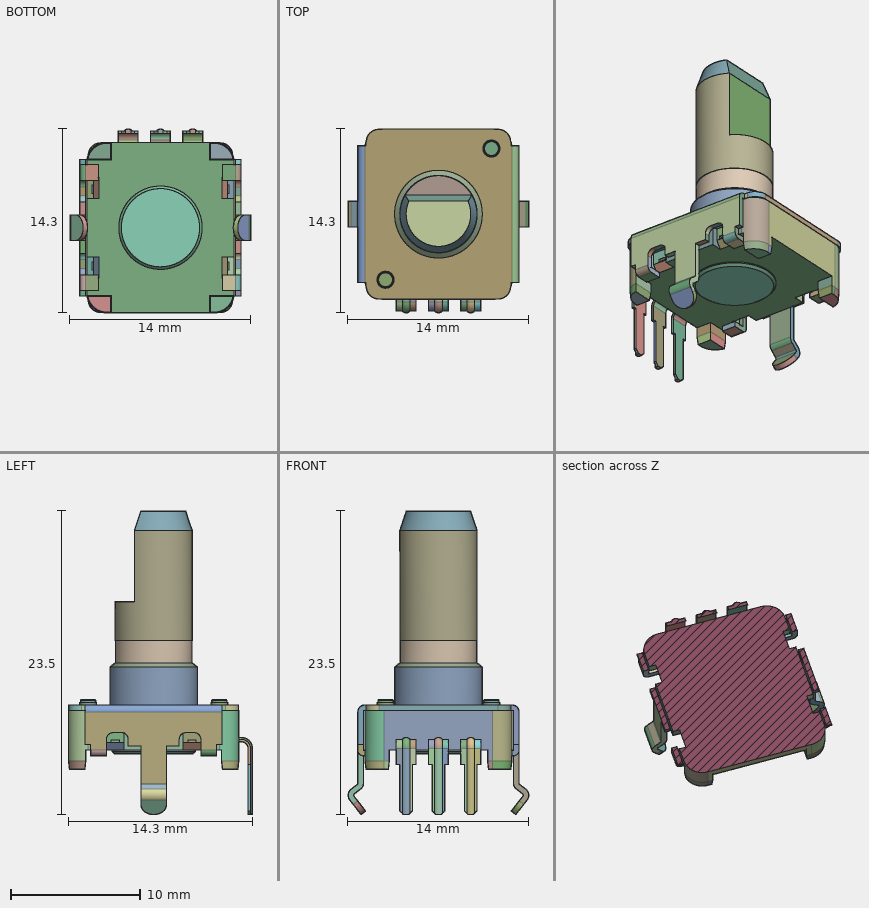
import cadquery as cq
import math


body_length_x = 11.4
body_length_y = 13.2
body_corner_radius = 1.5
body_bottom_z = 1.5
foot_size_x = 1.9
foot_size_y = 1.35
foot_taper_height = 0.67
foot_taper_inset = 0.07
base_disc_radius = 3.23
base_disc_depth = 0.3
base_disc_chamfer = 0.2

sheet = 0.45
cover_top_z = 5.0
plate_length_x = 11.2
plate_length_y = 13.16
plate_corner_radius = 1.0
wall_outer_x = 6.25
wall_bend_radius = 0.55
wall_half_y = 5.3
wall_bottom_z = 1.95
lug_inner_y = 3.65
lug_outer_y = 4.88
lug_end_x = 4.8
lug_bend_radius = 0.45
notch_inner_y = 1.98
notch_top_z = 2.85
notch_corner_radius = 0.5
wall_middle_bottom_z = 1.8

snap_width = 2.0
snap_knee_z = -1.12
snap_outer_x = 7.0
snap_tip_z = -3.5
snap_slope = math.radians(38)
snap_elbow_radius = 0.6
snap_knee_radius = 0.1

pocket_inner_y = 2.28
pocket_outer_y = 3.9
pocket_depth = 0.5
pocket_top_z = 3.1
pocket_bevel_z = 2.1
pocket_bevel_run = 0.45
nub_width = 0.65
nub_height = 0.2
nub_depth = 0.1

bushing_radius = 3.4
bushing_top_z = 8.25
bushing_chamfer_radial = 0.4
bushing_chamfer_height = 0.33
neck_radius = 2.97
neck_top_z = 10.0
shaft_radius = 3.0
shaft_top_z = 20.0
shaft_flat_y = 1.5
shaft_flat_bottom_z = 13.0
shaft_tip_height = 1.5
shaft_tip_inset = 0.5

rivet_x = 4.1
rivet_y = 5.08
rivet_flange_radius = 0.66
rivet_flange_height = 0.17
rivet_radius = 0.6
rivet_height = 0.4
rivet_chamfer = 0.06

pin_pitch = 2.5
pin_sheet = 0.2
pin_top_z = 2.33
pin_outer_y = -7.5
pin_bend_radius = 0.7
pin_tip_z = -3.5
pin_tip_chamfer = 0.3
pin_wide = 1.55
pin_narrow = 1.0
pin_wide_bottom_z = 0.37
pin_embed = 0.5
bead_width = 0.6
bead_height = 0.15

body_top_z = cover_top_z - sheet
body_half_x = body_length_x / 2
body_half_y = body_length_y / 2
wall_inner_x = wall_outer_x - sheet
lug_bottom_z = body_bottom_z - sheet
pin_root_y = pin_embed - body_half_y


def box_between(x0, x1, y0, y1, z0, z1):
    """Axis-aligned block between two opposite corners."""
    return cq.Workplane("XY").box(x1 - x0, y1 - y0, z1 - z0, centered=False).translate((x0, y0, z0))


def both_sides_x(shape):
    """The shape together with its mirror image across the YZ plane."""
    return shape.union(shape.mirror("YZ"))


def both_sides_y(shape):
    """The shape together with its mirror image across the XZ plane."""
    return shape.union(shape.mirror("XZ"))


def rounded_block(length_x, length_y, radius, z0, z1):
    """Upright block with rounded vertical edges, centred on the Z axis."""
    block = cq.Workplane("XY").workplane(offset=z0).rect(length_x, length_y).extrude(z1 - z0)
    return block.edges("|Z").fillet(radius)


def make_foot():
    """Corner foot at +X +Y, following the rounded corner, whose lower end narrows slightly."""
    block = box_between(
        body_half_x - foot_size_x, body_half_x,
        body_half_y - foot_size_y, body_half_y,
        0, body_bottom_z,
    )
    foot = block.intersect(
        rounded_block(body_length_x, body_length_y, body_corner_radius, 0, body_bottom_z)
    )
    return foot.faces("<Z").chamfer(foot_taper_height, foot_taper_inset)


def make_pocket():
    """Side pocket at +X +Y with a bevelled lower lip and a small nub on its floor."""
    floor_x = body_half_x - pocket_depth
    pocket = (
        cq.Workplane("XZ")
        .moveTo(body_half_x, pocket_top_z)
        .lineTo(floor_x, pocket_top_z)
        .lineTo(floor_x, pocket_bevel_z)
        .lineTo(floor_x - pocket_bevel_run, body_bottom_z)
        .lineTo(body_half_x, body_bottom_z)
        .close()
        .extrude(pocket_inner_y - pocket_outer_y)
        .translate((0, pocket_inner_y, 0))
    )
    nub_center_y = (pocket_inner_y + lug_inner_y) / 2
    nub = box_between(
        floor_x, floor_x + nub_depth,
        nub_center_y - nub_width / 2, nub_center_y + nub_width / 2,
        pocket_bevel_z, pocket_bevel_z + nub_height,
    )
    return pocket.cut(nub)


def make_housing():
    housing = rounded_block(
        body_length_x, body_length_y, body_corner_radius, body_bottom_z, body_top_z
    )
    housing = housing.cut(both_sides_x(both_sides_y(make_pocket())))
    housing = housing.union(both_sides_x(both_sides_y(make_foot())))
    disc = (
        cq.Workplane("XY").workplane(offset=body_bottom_z)
        .circle(base_disc_radius).extrude(-base_disc_depth)
        .faces("<Z").edges().chamfer(base_disc_chamfer)
    )
    return housing.union(disc)


def make_wall():
    """Bent side wall at +X, notched along its lower edge."""
    wall = box_between(
        plate_length_x / 2 - plate_corner_radius, wall_outer_x,
        -wall_half_y, wall_half_y, wall_bottom_z, cover_top_z,
    )
    wall = wall.edges("|Y and >X and >Z").fillet(wall_bend_radius)
    wall = wall.cut(box_between(0, wall_inner_x, -wall_half_y, wall_half_y, 0, body_top_z))
    notch = box_between(wall_inner_x, wall_outer_x, notch_inner_y, lug_inner_y, 0, notch_top_z)
    notch = notch.edges("|X and >Z").fillet(notch_corner_radius)
    wall = wall.union(box_between(
        wall_inner_x, wall_outer_x, -notch_inner_y, notch_inner_y, wall_middle_bottom_z, wall_bottom_z
    ))
    return wall.cut(both_sides_y(notch))


def make_lug():
    """Lug at +X +Y that continues the wall down and folds under the housing."""
    lug = box_between(
        lug_end_x, wall_outer_x, lug_inner_y, lug_outer_y, lug_bottom_z, wall_bottom_z
    )
    lug = lug.edges("|Y and >X and <Z").fillet(lug_bend_radius)
    return lug.cut(box_between(
        lug_end_x, wall_inner_x, lug_inner_y, lug_outer_y, body_bottom_z, wall_bottom_z
    ))


def fillet_at(shape, x, z, radius):
    """Round the edge along Y that passes through the given X and Z."""
    edge = cq.selectors.NearestToPointSelector((x, 0, z))
    return shape.edges("|Y").edges(edge).fillet(radius)


def make_snap_leg():
    """Leg at +X: straight down, out to an elbow, then back in to a rounded tip."""
    out_x = math.cos(snap_slope)
    out_z = math.sin(snap_slope)
    elbow_x = snap_outer_x + snap_elbow_radius * (out_x + out_z - 1)
    elbow_z = snap_knee_z - (elbow_x - wall_outer_x) * out_z / out_x
    return_length = (elbow_z - snap_tip_z) / out_x
    tip_x = elbow_x - return_length * out_z
    knee_shift = sheet * math.tan((math.pi / 2 - snap_slope) / 2)
    inner_elbow_x = elbow_x - sheet * (out_x + out_z)
    inner_elbow_z = elbow_z + sheet * (out_z - out_x)
    leg = (
        cq.Workplane("XZ")
        .moveTo(wall_outer_x, wall_bottom_z)
        .lineTo(wall_outer_x, snap_knee_z)
        .lineTo(elbow_x, elbow_z)
        .lineTo(tip_x, snap_tip_z)
        .lineTo(tip_x - sheet * out_x, snap_tip_z + sheet * out_z)
        .lineTo(inner_elbow_x, inner_elbow_z)
        .lineTo(wall_inner_x, snap_knee_z - knee_shift)
        .lineTo(wall_inner_x, wall_bottom_z)
        .close()
        .extrude(snap_width / 2, both=True)
    )
    leg = fillet_at(leg, elbow_x, elbow_z, snap_elbow_radius)
    leg = fillet_at(leg, inner_elbow_x, inner_elbow_z, snap_elbow_radius - sheet)
    leg = fillet_at(leg, wall_outer_x, snap_knee_z, snap_knee_radius)
    leg = fillet_at(leg, wall_inner_x, snap_knee_z - knee_shift, snap_knee_radius + sheet)
    return_run = cq.Plane(
        origin=(tip_x, 0, snap_tip_z), xDir=(0, 1, 0), normal=(-out_x, 0, out_z)
    )
    return leg.cut(make_tip_trim(return_run))


def make_tip_trim(plane):
    """Material outside the half-round end of a snap leg; the plane's -Y points up the leg."""
    half = snap_width / 2
    reach = 2 * sheet
    square = cq.Workplane(plane).rect(2 * snap_width, snap_width).extrude(reach, both=True)
    keep = cq.Workplane(plane).center(0, -half).circle(half).extrude(reach, both=True)
    return square.cut(keep)


def make_cover():
    plate = rounded_block(
        plate_length_x, plate_length_y, plate_corner_radius, body_top_z, cover_top_z
    )
    side = make_wall().union(both_sides_y(make_lug())).union(make_snap_leg())
    return plate.union(both_sides_x(side))


def make_rivet():
    flange = cq.Workplane("XY").circle(rivet_flange_radius).extrude(rivet_flange_height)
    head = cq.Workplane("XY").circle(rivet_radius).extrude(rivet_height)
    head = head.faces(">Z").edges().chamfer(rivet_chamfer)
    return flange.union(head).translate((0, 0, cover_top_z))


def make_bushing():
    chamfer_start_z = bushing_top_z - bushing_chamfer_height
    return (
        cq.Workplane("XZ")
        .moveTo(0, cover_top_z)
        .lineTo(bushing_radius, cover_top_z)
        .lineTo(bushing_radius, chamfer_start_z)
        .lineTo(bushing_radius - bushing_chamfer_radial, bushing_top_z)
        .lineTo(0, bushing_top_z)
        .close()
        .revolve(360, (0, 0, 0), (0, 1, 0))
    )


def make_shaft():
    """Shaft on a slightly thinner neck, flat on +Y, with the whole D-shaped tip chamfered."""
    tip_start_z = shaft_top_z - shaft_tip_height
    shaft = cq.Workplane("XY").workplane(offset=neck_top_z).circle(shaft_radius)
    shaft = shaft.extrude(shaft_top_z - neck_top_z)
    shaft = shaft.faces(">Z").edges().chamfer(shaft_tip_height, shaft_tip_inset)
    flat_cut = (
        cq.Workplane("YZ")
        .moveTo(shaft_flat_y, shaft_flat_bottom_z)
        .lineTo(shaft_flat_y, tip_start_z)
        .lineTo(shaft_flat_y - shaft_tip_inset, shaft_top_z)
        .lineTo(shaft_radius, shaft_top_z)
        .lineTo(shaft_radius, shaft_flat_bottom_z)
        .close()
        .extrude(shaft_radius, both=True)
    )
    neck = cq.Workplane("XY").workplane(offset=cover_top_z).circle(neck_radius)
    neck = neck.extrude(neck_top_z - cover_top_z)
    return shaft.cut(flat_cut).union(neck)


def make_pin_strip(width):
    """Right-angled strip from the housing out to -Y and down to the pin tip."""
    strip = box_between(
        -width / 2, width / 2, pin_outer_y, pin_root_y, pin_tip_z, pin_top_z
    )
    strip = strip.edges("|X and <Y and >Z").fillet(pin_bend_radius)
    hollow = box_between(
        -width / 2, width / 2, pin_outer_y + pin_sheet, pin_root_y,
        pin_tip_z, pin_top_z - pin_sheet,
    )
    hollow = hollow.edges("|X and <Y and >Z").fillet(pin_bend_radius - pin_sheet)
    return strip.cut(hollow)


def make_bead():
    """Stiffening bead of arched section along the outer face of a pin."""
    half = bead_width / 2
    bend_y = pin_outer_y + pin_bend_radius
    bend_z = pin_top_z - pin_bend_radius
    path = (
        cq.Workplane("YZ")
        .moveTo(pin_root_y, pin_top_z)
        .lineTo(bend_y, pin_top_z)
        .radiusArc((pin_outer_y, bend_z), -pin_bend_radius)
        .lineTo(pin_outer_y, pin_tip_z)
    )
    section = (
        cq.Workplane("XZ", origin=(0, pin_root_y, pin_top_z))
        .moveTo(-half, -pin_sheet / 2)
        .lineTo(-half, 0)
        .threePointArc((0, bead_height), (half, 0))
        .lineTo(half, -pin_sheet / 2)
        .close()
    )
    return section.sweep(path)


def make_pin():
    wide = make_pin_strip(pin_wide)
    wide = wide.cut(box_between(
        -pin_wide, pin_wide, pin_outer_y, 0, pin_tip_z, pin_wide_bottom_z
    ))
    pin = wide.union(make_pin_strip(pin_narrow)).union(make_bead())
    half = pin_narrow / 2
    corner = (
        cq.Workplane("XZ")
        .moveTo(half, pin_tip_z)
        .lineTo(half, pin_tip_z + pin_tip_chamfer)
        .lineTo(half - pin_tip_chamfer, pin_tip_z)
        .close()
        .extrude(2 * body_half_y)
    )
    return pin.cut(both_sides_x(corner))


result = make_housing().union(make_cover()).union(make_bushing()).union(make_shaft())
for side in (-1, 1):
    result = result.union(make_rivet().translate((side * rivet_x, side * rivet_y, 0)))
for place in (-1, 0, 1):
    result = result.union(make_pin().translate((place * pin_pitch, 0, 0)))